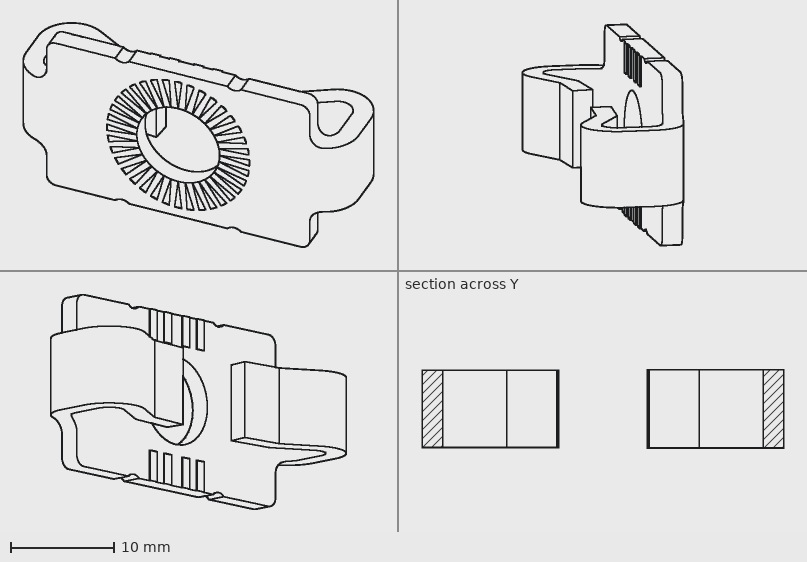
import cadquery as cq
import math

SHEET = 2.0
OVERALL_X = 35.0
OVERALL_Y = 10.0
PLATE_X = 27.7
PLATE_Z = 17.0
CORNER_RADIUS = 1.0

RIGHT_ARM_WIDTH = 7.6
LEFT_ARM_WIDTH = 7.5
ARM_ROOT_RADIUS = 1.4
BEND_OUTER_RADIUS = 3.5
BEND_INNER_RADIUS = BEND_OUTER_RADIUS - SHEET
RETURN_SLOPE = math.radians(30)
TIP_SLOPE = math.radians(5)
KINK_X = 8.7
TIP_X = 4.3

HOLE_RADIUS = 4.35
GROOVE_COUNT = 36
GROOVE_RIM_OVERLAP = 0.1
GROOVE_START_RADIUS = HOLE_RADIUS - GROOVE_RIM_OVERLAP
GROOVE_OUTER_RADIUS = 7.5
GROOVE_HALF_WIDTH = 0.37
GROOVE_DEPTH = 0.08

NOTCH_X = 5.9
NOTCH_RADIUS = 1.0
NOTCH_DEPTH = 0.3

RIB_XS = (-3.27, -1.27, 1.27, 3.27)
RIB_WIDTH = 1.0
RIB_HEIGHT = 0.13
RIB_LENGTH = 3.0

BEND_X = OVERALL_X / 2 - BEND_OUTER_RADIUS
LOWER_BEND_Y = BEND_OUTER_RADIUS
UPPER_BEND_Y = OVERALL_Y - BEND_OUTER_RADIUS


def extrude_along_z(sketch, width):
    """Extrude an XY sketch symmetrically about Z = 0."""
    return sketch.extrude(width / 2, both=True)


def upper_bend_point(radius, angle):
    """Point at a radius from the upper bend centre, with angle measured from +Y towards the plate centre."""
    return BEND_X - radius * math.sin(angle), UPPER_BEND_Y + radius * math.cos(angle)


def quarter_arc_middle(radius):
    """Middle of the lower bend arc of the given radius."""
    offset = radius * math.sqrt(0.5)
    return BEND_X + offset, LOWER_BEND_Y - offset


def lower_bend_section():
    """Closed XY section from the plate middle round the lower bend to the foot of the vertical leg."""
    return (
        cq.Workplane("XY")
        .moveTo(0, 0)
        .lineTo(BEND_X, 0)
        .threePointArc(quarter_arc_middle(BEND_OUTER_RADIUS), (BEND_X + BEND_OUTER_RADIUS, LOWER_BEND_Y))
        .lineTo(BEND_X + BEND_INNER_RADIUS, LOWER_BEND_Y)
        .threePointArc(quarter_arc_middle(BEND_INNER_RADIUS), (BEND_X, SHEET))
        .lineTo(0, SHEET)
        .close()
    )


def make_base(arm_width):
    """Plate half at the +X end with its lower bend, trimmed to the outline with filleted arm roots."""
    strip = extrude_along_z(lower_bend_section(), PLATE_Z)
    half_plate = PLATE_X / 2
    edge_z = PLATE_Z / 2
    root_z = arm_width / 2
    outline = (
        cq.Workplane("XZ")
        .moveTo(0, -edge_z)
        .lineTo(half_plate - CORNER_RADIUS, -edge_z)
        .radiusArc((half_plate, -edge_z + CORNER_RADIUS), -CORNER_RADIUS)
        .lineTo(half_plate, -root_z - ARM_ROOT_RADIUS)
        .radiusArc((half_plate + ARM_ROOT_RADIUS, -root_z), ARM_ROOT_RADIUS)
        .lineTo(OVERALL_X / 2, -root_z)
        .lineTo(OVERALL_X / 2, root_z)
        .lineTo(half_plate + ARM_ROOT_RADIUS, root_z)
        .radiusArc((half_plate, root_z + ARM_ROOT_RADIUS), ARM_ROOT_RADIUS)
        .lineTo(half_plate, edge_z - CORNER_RADIUS)
        .radiusArc((half_plate - CORNER_RADIUS, edge_z), -CORNER_RADIUS)
        .lineTo(0, edge_z)
        .close()
        .extrude(-OVERALL_Y)
    )
    return strip.intersect(outline)


def make_arm(arm_width):
    """Arm at the +X end: vertical leg, upper bend, sloping return and flatter tip."""
    outer_tangent = upper_bend_point(BEND_OUTER_RADIUS, RETURN_SLOPE)
    inner_tangent = upper_bend_point(BEND_INNER_RADIUS, RETURN_SLOPE)
    arc_middle_angle = (RETURN_SLOPE - math.pi / 2) / 2
    kink_y = outer_tangent[1] - (outer_tangent[0] - KINK_X) * math.tan(RETURN_SLOPE)
    tip_y = kink_y - (KINK_X - TIP_X) * math.tan(TIP_SLOPE)
    mitre_angle = (RETURN_SLOPE + TIP_SLOPE) / 2
    mitre_length = SHEET / math.cos((RETURN_SLOPE - TIP_SLOPE) / 2)
    inner_kink = (
        KINK_X + mitre_length * math.sin(mitre_angle),
        kink_y - mitre_length * math.cos(mitre_angle),
    )
    inner_tip = (TIP_X + SHEET * math.sin(TIP_SLOPE), tip_y - SHEET * math.cos(TIP_SLOPE))
    section = (
        cq.Workplane("XY")
        .moveTo(BEND_X + BEND_OUTER_RADIUS, LOWER_BEND_Y)
        .lineTo(BEND_X + BEND_OUTER_RADIUS, UPPER_BEND_Y)
        .threePointArc(upper_bend_point(BEND_OUTER_RADIUS, arc_middle_angle), outer_tangent)
        .lineTo(KINK_X, kink_y)
        .lineTo(TIP_X, tip_y)
        .lineTo(*inner_tip)
        .lineTo(*inner_kink)
        .lineTo(*inner_tangent)
        .threePointArc(
            upper_bend_point(BEND_INNER_RADIUS, arc_middle_angle),
            (BEND_X + BEND_INNER_RADIUS, UPPER_BEND_Y),
        )
        .lineTo(BEND_X + BEND_INNER_RADIUS, LOWER_BEND_Y)
        .close()
    )
    return extrude_along_z(section, arm_width)


def make_half(arm_width):
    """Complete +X half of the bent strip."""
    return make_base(arm_width).union(make_arm(arm_width))


def make_ribs():
    """Low ribs on the rear face along both long edges."""
    rib_z = (PLATE_Z - RIB_LENGTH) / 2
    centres = [(x, z) for x in RIB_XS for z in (-rib_z, rib_z)]
    return cq.Workplane("XZ").pushPoints(centres).rect(RIB_WIDTH, RIB_LENGTH).extrude(-SHEET - RIB_HEIGHT)


def make_notches():
    """Cutters for the round notches in the long edges."""
    notch_z = PLATE_Z / 2 + NOTCH_RADIUS - NOTCH_DEPTH
    centres = [(x, z) for x in (-NOTCH_X, NOTCH_X) for z in (-notch_z, notch_z)]
    return cq.Workplane("XZ").pushPoints(centres).circle(NOTCH_RADIUS).extrude(-OVERALL_Y)


def make_groove():
    """Cutter for one shallow scoop along +X, widening outward from just inside the hole rim.

    The cutter is a cone with its apex in the front face. Its axis leans out of the plate so that the
    cone meets the face with the wanted opening angle and sinks below it with the wanted slope.
    """
    length = GROOVE_OUTER_RADIUS - GROOVE_START_RADIUS
    opening = math.atan(GROOVE_HALF_WIDTH / length)
    slope = math.atan(GROOVE_DEPTH / length)
    lean = math.atan((math.cos(slope) - math.cos(opening)) / math.sin(slope))
    cone_height = length / math.cos(lean)
    return cq.Workplane(
        obj=cq.Solid.makeCone(
            0,
            cone_height * math.tan(lean + slope),
            cone_height,
            cq.Vector(GROOVE_START_RADIUS, 0, 0),
            cq.Vector(math.cos(lean), -math.sin(lean), 0),
        )
    )


def cut_grooves(body):
    """Cut the ring of radial grooves into the front face, all ending on one circle."""
    end_limit = cq.Workplane("XZ").circle(GROOVE_OUTER_RADIUS).extrude(SHEET, both=True)
    groove = make_groove().intersect(end_limit)
    pitch = 360 / GROOVE_COUNT
    for index in range(GROOVE_COUNT):
        body = body.cut(groove.rotate((0, 0, 0), (0, 1, 0), index * pitch))
    return body


clip = make_half(RIGHT_ARM_WIDTH).union(make_half(LEFT_ARM_WIDTH).mirror("YZ"))
clip = clip.union(make_ribs())
clip = clip.cut(make_notches())
clip = clip.cut(cq.Workplane("XZ").circle(HOLE_RADIUS).extrude(-SHEET))
result = cut_grooves(clip).solids()